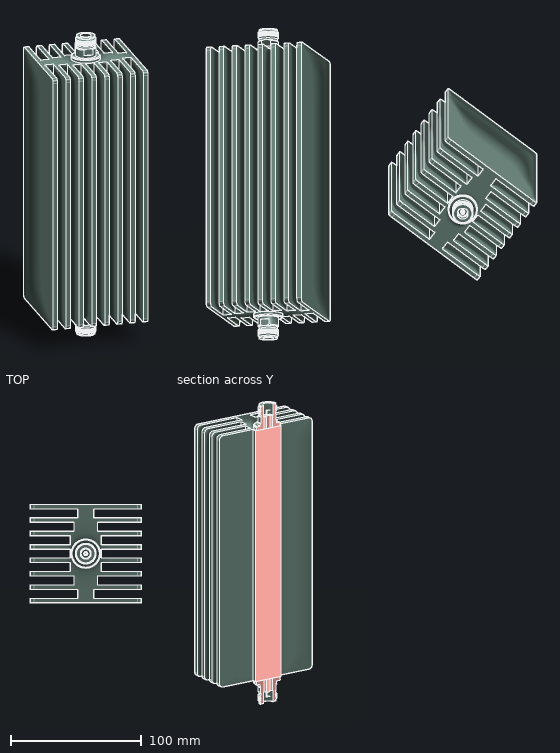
import cadquery as cq

TOTAL_LENGTH = 240.5

SINK_WIDTH = 85.0
SINK_DEPTH = 75.5
SINK_LENGTH = 202.7
FIN_COUNT = 8
FIN_THICKNESS = 3.5
FIN_CORNER_RADIUS = 3.1
FIN_PITCH = (SINK_DEPTH - FIN_THICKNESS) / (FIN_COUNT - 1)
WEB_MAX_WIDTH = 23.8
WEB_MIN_WIDTH = 12.3
WEB_LEVELS = 3
WEB_STEP = (WEB_MAX_WIDTH - WEB_MIN_WIDTH) / (WEB_LEVELS - 1)
CORE_GAPS = 3

CONNECTOR_HEIGHT = (TOTAL_LENGTH - SINK_LENGTH) / 2
FLANGE_RADIUS = 22.4 / 2
FLANGE_HEIGHT = 3.0
FLANGE_CHAMFER = 0.7
BARREL_RADIUS = 15.9 / 2
BARREL_TOP = 10.0
BARREL_CHAMFER = 0.7
NECK_RADIUS = 14.2 / 2
FLAT_DISTANCE = NECK_RADIUS
FLAT_BOTTOM = 5.0

THREAD_BOTTOM = 11.5
THREAD_TOP = 17.8
THREAD_PITCH = 1.05
THREAD_RIDGES = 4
THREAD_FLANK = THREAD_PITCH / 4

UPPER_TURN = 2
LOWER_TURN = -7

MOUTH_RADIUS = 8.5 / 2
MOUTH_DEPTH = 9.1
INSULATOR_RADIUS = 7.0 / 2
INSULATOR_HEIGHT = CONNECTOR_HEIGHT - MOUTH_DEPTH
CONTACT_RADIUS = 3.1 / 2
CONTACT_RECESS = 4.8
CONTACT_HEIGHT = CONNECTOR_HEIGHT - CONTACT_RECESS
SOCKET_RADIUS = 1.7 / 2
SOCKET_DEPTH = 3.5


def make_heat_sink():
    """Parallel fins with rounded corners, joined by a stepped central web."""
    fin = (
        cq.Workplane("XY")
        .box(SINK_WIDTH, FIN_THICKNESS, SINK_LENGTH)
        .edges("|Y")
        .fillet(FIN_CORNER_RADIUS)
    )
    first_fin_y = -(SINK_DEPTH - FIN_THICKNESS) / 2
    sink = fin.translate((0, first_fin_y, 0))
    for index in range(1, FIN_COUNT):
        sink = sink.union(fin.translate((0, first_fin_y + index * FIN_PITCH, 0)))

    for step in range(WEB_LEVELS):
        width = WEB_MAX_WIDTH - step * WEB_STEP
        depth = (CORE_GAPS + 2 * step) * FIN_PITCH
        sink = sink.union(cq.Workplane("XY").box(width, depth, SINK_LENGTH))
    return sink


def cylinder(radius, bottom, top):
    """Upright cylinder on the Z axis between two heights."""
    return cq.Workplane("XY").workplane(offset=bottom).circle(radius).extrude(top - bottom)


def make_thread():
    """Flat-crested ridges between the neck and barrel radii, with conical run-outs."""
    ridged_length = (THREAD_RIDGES - 1) * THREAD_PITCH + THREAD_FLANK
    first_crest = (THREAD_BOTTOM + THREAD_TOP - ridged_length) / 2
    outline = cq.Workplane("XZ").moveTo(0, THREAD_BOTTOM).lineTo(NECK_RADIUS, THREAD_BOTTOM)
    for ridge in range(THREAD_RIDGES):
        crest = first_crest + ridge * THREAD_PITCH
        if ridge > 0:
            outline = outline.lineTo(NECK_RADIUS, crest - 2 * THREAD_FLANK)
            outline = outline.lineTo(NECK_RADIUS, crest - THREAD_FLANK)
        outline = outline.lineTo(BARREL_RADIUS, crest)
        outline = outline.lineTo(BARREL_RADIUS, crest + THREAD_FLANK)
    outline = outline.lineTo(NECK_RADIUS, THREAD_TOP).lineTo(0, THREAD_TOP).close()
    return outline.revolve(360, (0, 0, 0), (0, 1, 0))


def make_shell():
    """Flange, flatted barrel, neck and thread, bored for insulator and mouth."""
    flange = cylinder(FLANGE_RADIUS, 0, FLANGE_HEIGHT).faces(">Z").chamfer(FLANGE_CHAMFER)
    barrel = cylinder(BARREL_RADIUS, 0, BARREL_TOP).faces(">Z").chamfer(BARREL_CHAMFER)

    flat_height = BARREL_TOP - FLAT_BOTTOM
    for side in (-1, 1):
        cutter = cq.Workplane("XY").box(BARREL_RADIUS, 2 * BARREL_RADIUS, flat_height)
        cutter_x = side * (FLAT_DISTANCE + BARREL_RADIUS / 2)
        barrel = barrel.cut(cutter.translate((cutter_x, 0, FLAT_BOTTOM + flat_height / 2)))

    neck = cylinder(NECK_RADIUS, 0, CONNECTOR_HEIGHT)
    shell = flange.union(barrel).union(neck).union(make_thread())
    shell = shell.cut(cylinder(INSULATOR_RADIUS, 0, INSULATOR_HEIGHT))
    return shell.cut(cylinder(MOUTH_RADIUS, INSULATOR_HEIGHT, CONNECTOR_HEIGHT))


def make_insulator():
    """Ring that holds the contact in the shell, flush with the mouth floor."""
    outer = cylinder(INSULATOR_RADIUS, 0, INSULATOR_HEIGHT)
    return outer.cut(cylinder(CONTACT_RADIUS, 0, INSULATOR_HEIGHT))


def make_contact():
    """Centre contact with a socket in its free end."""
    post = cylinder(CONTACT_RADIUS, 0, CONTACT_HEIGHT)
    return post.cut(cylinder(SOCKET_RADIUS, CONTACT_HEIGHT - SOCKET_DEPTH, CONTACT_HEIGHT))


def place_upper(body):
    """Stand a connector body on the sink's top face."""
    return body.rotate((0, 0, 0), (0, 0, 1), UPPER_TURN).translate((0, 0, SINK_LENGTH / 2))


def place_lower(body):
    """Hang a connector body from the sink's bottom face."""
    flipped = body.rotate((0, 0, 0), (1, 0, 0), 180)
    return flipped.rotate((0, 0, 0), (0, 0, 1), LOWER_TURN).translate((0, 0, -SINK_LENGTH / 2))


heat_sink = make_heat_sink().solids()
shells = []
insulators = []
contacts = []
for place in (place_upper, place_lower):
    shells.append(place(make_shell()).solids().val())
    insulators.append(place(make_insulator()).solids().val())
    contacts.append(place(make_contact()).solids().val())

result = cq.Compound.makeCompound([heat_sink.val(), *shells, *insulators, *contacts])